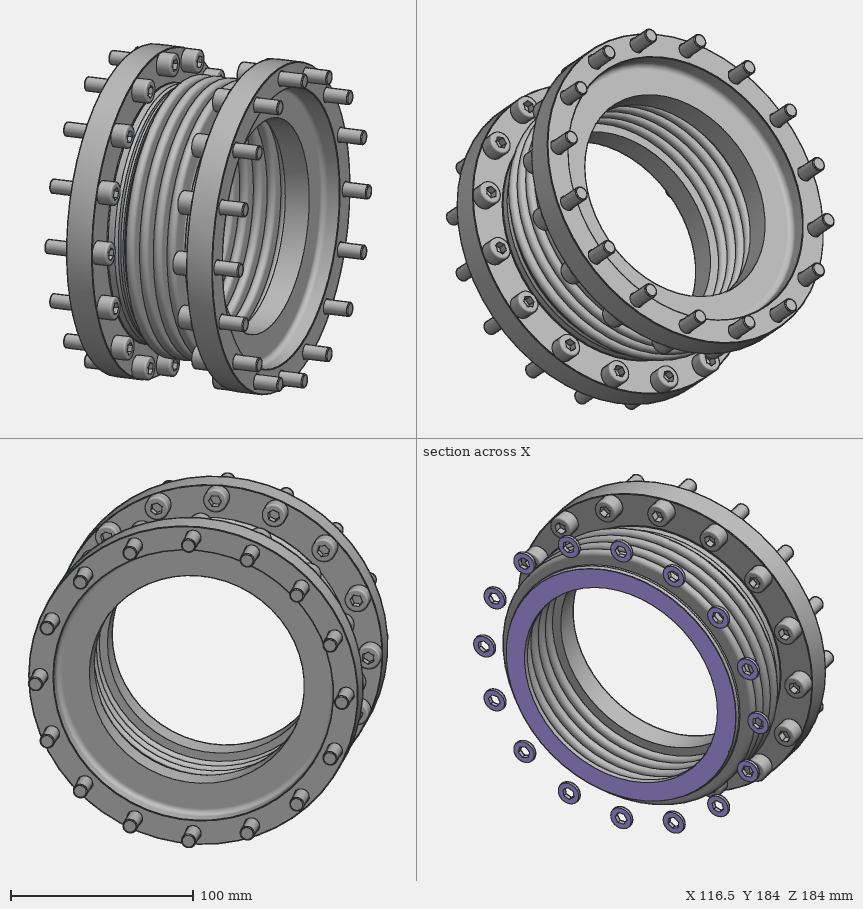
import cadquery as cq


outer_diameter = 184
flange_radius = outer_diameter / 2
flange_inner_x = 28.3
flange_thickness = 15.6
flange_outer_x = flange_inner_x + flange_thickness
edge_chamfer = 0.4

recess_radius = 156.0 / 2
recess_depth = 10.3
recess_fillet = 3.1
recess_floor_x = flange_outer_x - recess_depth
bore_radius = 120.0 / 2

crest_count = 4
bend_count = 2 * crest_count + 1
crest_pitch = 8.3
crest_outer_radius = 78.5
trough_outer_radius = 65.3
wall_thickness = 1.3
wide_bend = crest_pitch / 4 + wall_thickness / 2
narrow_bend = wide_bend - wall_thickness
crest_center_radius = crest_outer_radius - wide_bend
trough_center_radius = trough_outer_radius + narrow_bend
bellows_end_x = crest_count * crest_pitch / 2 + narrow_bend

hub_radius = 144.6 / 2
hub_inner_x = 18.5
collar_radius = 145.0 / 2
collar_length = 0.7
lip_radius = 70.3

weld_groove_x = 21.9
weld_groove_half_width = 1.3
weld_groove_depth = 0.7
weld_bevel_width = 0.5
weld_bevel_depth = 0.2

screw_count = 16
screw_circle_radius = 171.0 / 2
screw_radius = 8.0 / 2
screw_hole_radius = 8.6 / 2
overall_length = 116.5
screw_end_x = overall_length / 2
screw_chamfer = 0.5
head_radius = 13.0 / 2
head_height = 8.5
head_fillet = 1.1
head_top_x = flange_inner_x - head_height
socket_sides = 6
socket_across_flats = 6.0
socket_depth = 4.6
socket_turn = 180 / socket_sides


def at_screw_places(shape):
    """Copies of a shape, built at the top of the screw circle, at every screw place."""
    copies = cq.Workplane("YZ")
    for index in range(screw_count):
        copies.add(shape.rotate((0, 0, 0), (1, 0, 0), index * 360 / screw_count))
    return copies


def make_hub_and_flange():
    """Flange and hub on the +X side, turned from one outline of (x, radius) points."""
    groove_start_x = weld_groove_x - weld_groove_half_width
    groove_end_x = weld_groove_x + weld_groove_half_width
    shoulder_radius = hub_radius - weld_bevel_depth
    collar_x = flange_inner_x - collar_length
    return (
        cq.Workplane("XY")
        .moveTo(bellows_end_x + wall_thickness, bore_radius)
        .lineTo(bellows_end_x + wall_thickness, trough_center_radius)
        .lineTo(bellows_end_x, trough_center_radius)
        .lineTo(bellows_end_x, lip_radius)
        .lineTo(hub_inner_x, lip_radius)
        .lineTo(hub_inner_x, hub_radius)
        .lineTo(groove_start_x - weld_bevel_width, hub_radius)
        .lineTo(groove_start_x, shoulder_radius)
        .lineTo(weld_groove_x, hub_radius - weld_groove_depth)
        .lineTo(groove_end_x, shoulder_radius)
        .lineTo(groove_end_x + weld_bevel_width, hub_radius)
        .lineTo(collar_x, hub_radius)
        .lineTo(collar_x, collar_radius)
        .lineTo(flange_inner_x, collar_radius)
        .lineTo(flange_inner_x, flange_radius - edge_chamfer)
        .lineTo(flange_inner_x + edge_chamfer, flange_radius)
        .lineTo(flange_outer_x - edge_chamfer, flange_radius)
        .lineTo(flange_outer_x, flange_radius - edge_chamfer)
        .lineTo(flange_outer_x, recess_radius + edge_chamfer)
        .lineTo(flange_outer_x - edge_chamfer, recess_radius)
        .lineTo(recess_floor_x + recess_fillet, recess_radius)
        .radiusArc((recess_floor_x, recess_radius - recess_fillet), -recess_fillet)
        .lineTo(recess_floor_x, bore_radius)
        .close()
        .revolve(360, (0, 0, 0), (1, 0, 0))
    )


def make_screw_holes():
    """Clearance holes through the +X flange."""
    hole = (
        cq.Workplane("YZ", origin=(flange_inner_x, 0, 0))
        .center(0, screw_circle_radius)
        .circle(screw_hole_radius)
        .extrude(flange_thickness)
    )
    return at_screw_places(hole.val())


def make_screws():
    """Screws of the +X flange: heads on its inner face, shanks standing out of its outer face."""
    head = (
        cq.Workplane("YZ", origin=(head_top_x, 0, 0))
        .center(0, screw_circle_radius)
        .circle(head_radius)
        .extrude(head_height)
        .faces("<X")
        .edges()
        .fillet(head_fillet)
    )
    socket = (
        cq.Workplane("YZ", origin=(head_top_x, 0, 0))
        .center(0, screw_circle_radius)
        .transformed(rotate=(0, 0, socket_turn))
        .polygon(socket_sides, socket_across_flats, circumscribed=True)
        .extrude(socket_depth)
    )
    shank = (
        cq.Workplane("YZ", origin=(flange_inner_x, 0, 0))
        .center(0, screw_circle_radius)
        .circle(screw_radius)
        .extrude(screw_end_x - flange_inner_x)
        .faces(">X")
        .chamfer(screw_chamfer)
    )
    return at_screw_places(head.cut(socket).union(shank).val())


def add_wave(outline, direction, crest_bend, trough_bend):
    """Add one side of the bellows wave, running along X in the given direction (1 or -1)."""
    for index in range(bend_count):
        center_x = direction * (index * crest_pitch - crest_count * crest_pitch) / 2
        is_trough = index % 2 == 0
        if is_trough:
            center_radius = trough_center_radius
            bend = trough_bend
            tip_radius = center_radius - bend
        else:
            center_radius = crest_center_radius
            bend = crest_bend
            tip_radius = center_radius + bend
        outline = (
            outline
            .lineTo(center_x - direction * bend, center_radius)
            .threePointArc((center_x, tip_radius), (center_x + direction * bend, center_radius))
        )
    return outline


def make_bellows():
    """Thin wavy wall, turned from the outline of its outer and inner side."""
    outline = cq.Workplane("XY").moveTo(-bellows_end_x - wall_thickness, trough_center_radius)
    outline = add_wave(outline, 1, wide_bend, narrow_bend)
    outline = add_wave(outline, -1, narrow_bend, wide_bend)
    return outline.close().revolve(360, (0, 0, 0), (1, 0, 0))


half_joint = make_hub_and_flange().cut(make_screw_holes()).union(make_screws())
result = make_bellows().union(half_joint).union(half_joint.mirror("YZ"))